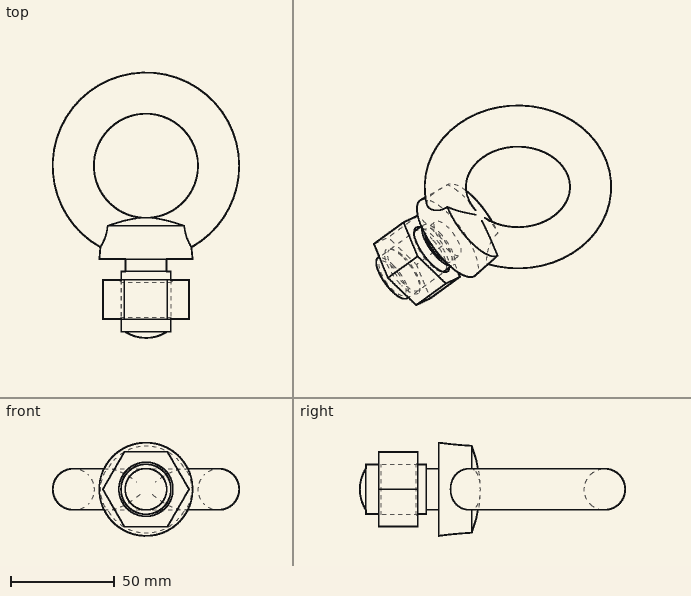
import cadquery as cq
import math

bar_diameter = 20.0
ring_outer_diameter = 90.0
ring_radius = (ring_outer_diameter - bar_diameter) / 2

collar_base_radius = 22.5
collar_rim_radius = 21.0
collar_side_height = 16.0
collar_base_y = -ring_outer_diameter / 2
collar_rim_y = collar_base_y + collar_side_height
collar_dome_y = -(ring_radius - bar_diameter / 2)

neck_radius = bar_diameter / 2
neck_length = 5.9
thread_radius = 12.0
thread_length = 29.2
tip_radius = neck_radius
tip_height = 3.0
thread_start_y = collar_base_y - neck_length
thread_end_y = thread_start_y - thread_length
tip_y = thread_end_y - tip_height

nut_across_flats = 36.0
nut_height = 19.0
nut_start_offset = 4.1
nut_start_y = thread_start_y - nut_start_offset
nut_chamfer = 1.0


def dome_radius(rim_radius, height):
    """Sphere radius of a dome with the given rim radius and height."""
    return (rim_radius**2 + height**2) / (2 * height)


def dome_midpoint(rim_radius, rim_y, top_y):
    """Point on a dome's profile halfway out from the axis to the rim."""
    height = abs(top_y - rim_y)
    sphere_radius = dome_radius(rim_radius, height)
    mid_radius = rim_radius / 2
    drop = sphere_radius - math.sqrt(sphere_radius**2 - mid_radius**2)
    return (mid_radius, top_y - math.copysign(drop, top_y - rim_y))


def make_ring():
    return cq.Workplane(cq.Solid.makeTorus(ring_radius, bar_diameter / 2))


def make_stem():
    """Collar, neck, thread and tip, revolved about the Y axis."""
    return (
        cq.Workplane("XY")
        .moveTo(0, collar_dome_y)
        .threePointArc(
            dome_midpoint(collar_rim_radius, collar_rim_y, collar_dome_y),
            (collar_rim_radius, collar_rim_y),
        )
        .lineTo(collar_base_radius, collar_base_y)
        .lineTo(neck_radius, collar_base_y)
        .lineTo(neck_radius, thread_start_y)
        .lineTo(thread_radius, thread_start_y)
        .lineTo(thread_radius, thread_end_y)
        .lineTo(tip_radius, thread_end_y)
        .threePointArc(dome_midpoint(tip_radius, thread_end_y, tip_y), (0, tip_y))
        .close()
        .revolve(360, (0, 0, 0), (0, 1, 0))
    )


def make_eye_bolt():
    return make_ring().union(make_stem())


def make_nut():
    """Hexagonal nut whose bore fits the thread and is chamfered at both ends."""
    across_corners = nut_across_flats / math.cos(math.pi / 6)
    blank = (
        cq.Workplane("XZ", origin=(0, nut_start_y, 0))
        .polygon(6, across_corners)
        .extrude(nut_height)
    )
    bored = blank.faces("<Y").workplane().hole(2 * thread_radius)
    return bored.edges("%CIRCLE").chamfer(nut_chamfer)


eye_bolt = make_eye_bolt()
nut = make_nut()

result = cq.Compound.makeCompound([eye_bolt.solids().val(), nut.solids().val()])